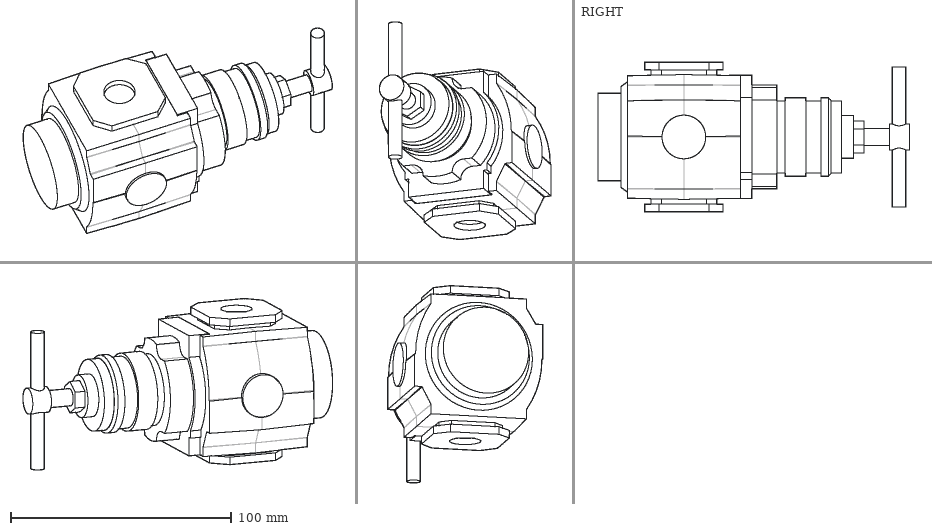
import cadquery as cq
import math


TOTAL_LENGTH = 141.6

HOUSING_HALF_LENGTH = 25.6
HOUSING_DRAFT = 1.0
BLOCK_HALF_HEIGHT = 28.3
CORNER_HALF_WIDTH = 22.8
CORNER_Z = 23.6
BULGE_HALF_WIDTH = 30.0
FLAT_HALF_WIDTH = 30.5
LEFT_LEDGE_Z = 15.9
RIGHT_LEDGE_Z = 16.9
LEDGE_HALF_WIDTH = 26.9

NOSE_TIP_Y = -39.1
NOSE_RADIUS = 20.0
SHOULDER_LENGTH = 3.0
SHOULDER_RADIUS = 25.0
SHOULDER_TIP_RADIUS = 23.0
DISC_RADIUS = 9.9
DISC_HALF_SPAN = 31.5
PORT_TOP_Z = 34.0
PORT_FLANGE_THICKNESS = 3.5
PORT_WIDTH = 35.7
PORT_CORNER_CUT = 6.5
PORT_BACK_LEFT_CUT = 7.2
PORT_FRONT_LEFT_CUT = 6.0
PORT_NECK_INSET = 2.8
PORT_HOLE_RADIUS = 7.1
PORT_HOLE_DEPTH = 2.8

KEY_HALF_WIDTH = 18.1
KEY_HALF_HEIGHT = 28.0
KEY_START_Y = 20.8
SLOT_CLEARANCE = 0.4
FLANGE_RADIUS = 25.5
FLANGE_END_Y = 30.9
CORNER_BLOCK_HALF_WIDTH = 19.8
CORNER_BLOCK_DEPTH = 19.4
LOBE_RADIUS = 23.6
LOBE_END_Y = 42.2
NOTCH_HALF_WIDTH = 7.1
NOTCH_FLOOR_Z = 16.9
NOTCH_FILLET = 5.5
BARREL_RADIUS = 16.4
BARREL_END_Y = 71.6
COLLAR_RADIUS = 17.8
LOWER_COLLAR_START_Y = 46.0
LOWER_COLLAR_END_Y = 55.4
UPPER_COLLAR_START_Y = 62.2
UPPER_COLLAR_END_Y = 65.5
COLLAR_CHAMFER = 1.3
CAP_RADIUS = 9.8
CAP_END_Y = 77.0
HEX_ACROSS_FLATS = 12.7
HEX_END_Y = 81.8

ROD_RADIUS = 4.0
HEAD_RADIUS = 6.0
HEAD_START_Y = 93.3
HEAD_END_Y = NOSE_TIP_Y + TOTAL_LENGTH
BAR_RADIUS = 3.1
BAR_LENGTH = 63.7
BAR_Y = 97.7


def cylinder_y(radius, start_y, end_y):
    """Solid cylinder on the Y axis."""
    plane = cq.Plane(origin=(0, start_y, 0), xDir=(1, 0, 0), normal=(0, 1, 0))
    return cq.Workplane(plane).circle(radius).extrude(end_y - start_y)


def box_between(x_range, y_range, z_range):
    """Box given by its limits along each axis."""
    limits = (x_range, y_range, z_range)
    size = [high - low for low, high in limits]
    return cq.Workplane("XY").box(*size, centered=False).translate([low for low, _ in limits])


def housing_block():
    """Drafted block; its profile nearly repeats after half a turn about Y."""
    bulge_depth = BULGE_HALF_WIDTH - CORNER_HALF_WIDTH
    bulge_radius = (CORNER_Z**2 + bulge_depth**2) / (2 * bulge_depth)
    middle_angle = math.asin(CORNER_Z / bulge_radius) / 2
    middle_x = BULGE_HALF_WIDTH - bulge_radius * (1 - math.cos(middle_angle))
    middle_z = bulge_radius * math.sin(middle_angle)

    profile = cq.Workplane("XZ").moveTo(-BULGE_HALF_WIDTH, 0)
    for side, ledge_z in ((-1, LEFT_LEDGE_Z), (1, RIGHT_LEDGE_Z)):
        profile = (
            profile.lineTo(side * FLAT_HALF_WIDTH, 0)
            .lineTo(side * FLAT_HALF_WIDTH, side * ledge_z)
            .lineTo(side * LEDGE_HALF_WIDTH, side * ledge_z)
            .lineTo(side * CORNER_HALF_WIDTH, side * CORNER_Z)
            .lineTo(side * CORNER_HALF_WIDTH, side * BLOCK_HALF_HEIGHT)
            .lineTo(-side * CORNER_HALF_WIDTH, side * BLOCK_HALF_HEIGHT)
            .lineTo(-side * CORNER_HALF_WIDTH, side * CORNER_Z)
            .threePointArc((-side * middle_x, side * middle_z), (-side * BULGE_HALF_WIDTH, 0))
        )
    half = profile.close().extrude(HOUSING_HALF_LENGTH, taper=HOUSING_DRAFT)
    return half.union(half.mirror("XZ"))


def nose():
    """Tapered shoulder and plain round nose on the -Y end."""
    shoulder_tip_y = -HOUSING_HALF_LENGTH - SHOULDER_LENGTH
    shoulder = (
        cq.Workplane("XY")
        .moveTo(0, -HOUSING_HALF_LENGTH)
        .lineTo(SHOULDER_RADIUS, -HOUSING_HALF_LENGTH)
        .lineTo(SHOULDER_TIP_RADIUS, shoulder_tip_y)
        .lineTo(0, shoulder_tip_y)
        .close()
        .revolve(360, (0, 0, 0), (0, 1, 0))
    )
    return shoulder.union(cylinder_y(NOSE_RADIUS, NOSE_TIP_Y, shoulder_tip_y))


def side_discs():
    """One round bar across X whose ends stand out of both sides."""
    return cq.Workplane("YZ").circle(DISC_RADIUS).extrude(DISC_HALF_SPAN, both=True)


def top_port():
    """Square flange with cut corners on a narrower neck."""
    flange_bottom_z = PORT_TOP_Z - PORT_FLANGE_THICKNESS
    edge = PORT_WIDTH / 2
    cut_start = edge - PORT_CORNER_CUT
    outline = [
        (-cut_start, -edge),
        (cut_start, -edge),
        (edge, -cut_start),
        (edge, cut_start),
        (cut_start, edge),
        (-cut_start, edge),
        (-edge, edge - PORT_BACK_LEFT_CUT),
        (-edge, PORT_FRONT_LEFT_CUT - edge),
    ]
    flange = (
        cq.Workplane("XY", origin=(0, 0, flange_bottom_z))
        .polyline(outline)
        .close()
        .extrude(PORT_FLANGE_THICKNESS)
    )
    neck = flange.faces("<Z").wires().toPending().offset2D(-PORT_NECK_INSET)
    neck = neck.extrude(CORNER_Z - flange_bottom_z, combine=False)
    return flange.union(neck)


def make_housing():
    housing = housing_block().union(nose()).union(side_discs())
    port = top_port()
    hole = (
        cq.Workplane("XY", origin=(0, 0, PORT_TOP_Z - PORT_HOLE_DEPTH))
        .circle(PORT_HOLE_RADIUS)
        .extrude(PORT_HOLE_DEPTH)
    )
    housing = housing.union(port).union(port.mirror("XY"))
    housing = housing.cut(hole).cut(hole.mirror("XY"))
    slot_half_width = KEY_HALF_WIDTH + SLOT_CLEARANCE
    slot = box_between(
        (-slot_half_width, slot_half_width),
        (KEY_START_Y, HOUSING_HALF_LENGTH),
        (-BLOCK_HALF_HEIGHT, BLOCK_HALF_HEIGHT),
    )
    return housing.cut(slot)


def flange_with_key():
    """Round flange with the key that fills the housing slot and a block with flat -Z corners."""
    key = box_between(
        (-KEY_HALF_WIDTH, KEY_HALF_WIDTH),
        (KEY_START_Y, FLANGE_END_Y),
        (-KEY_HALF_HEIGHT, KEY_HALF_HEIGHT),
    )
    corner_block = box_between(
        (-CORNER_BLOCK_HALF_WIDTH, CORNER_BLOCK_HALF_WIDTH),
        (HOUSING_HALF_LENGTH, FLANGE_END_Y),
        (-CORNER_BLOCK_DEPTH, 0),
    )
    flange = cylinder_y(FLANGE_RADIUS, HOUSING_HALF_LENGTH, FLANGE_END_Y)
    return flange.union(corner_block).union(key)


def lobed_nut():
    """Round nut with four rounded corner notches."""
    nut = cylinder_y(LOBE_RADIUS, FLANGE_END_Y, LOBE_END_Y)
    notch = box_between(
        (NOTCH_HALF_WIDTH, LOBE_RADIUS),
        (FLANGE_END_Y, LOBE_END_Y),
        (NOTCH_FLOOR_Z, LOBE_RADIUS),
    )
    notch = notch.edges("|Y and <X and <Z").fillet(NOTCH_FILLET)
    notches = notch.union(notch.mirror("YZ"))
    return nut.cut(notches).cut(notches.mirror("XY"))


def upper_collar():
    """Collar with a chamfered +Y rim."""
    rim_y = UPPER_COLLAR_END_Y + COLLAR_CHAMFER
    collar = cylinder_y(COLLAR_RADIUS, UPPER_COLLAR_START_Y, rim_y)
    return collar.faces(">Y").edges().chamfer(COLLAR_CHAMFER)


def hex_nut():
    """Hexagon with two corners on the Z axis."""
    plane = cq.Plane(origin=(0, CAP_END_Y, 0), xDir=(0, 0, 1), normal=(0, 1, 0))
    across_corners = HEX_ACROSS_FLATS / math.cos(math.pi / 6)
    return cq.Workplane(plane).polygon(6, across_corners).extrude(HEX_END_Y - CAP_END_Y)


def make_bonnet():
    return (
        flange_with_key()
        .union(lobed_nut())
        .union(cylinder_y(BARREL_RADIUS, LOBE_END_Y, BARREL_END_Y))
        .union(cylinder_y(COLLAR_RADIUS, LOWER_COLLAR_START_Y, LOWER_COLLAR_END_Y))
        .union(upper_collar())
        .union(cylinder_y(CAP_RADIUS, BARREL_END_Y, CAP_END_Y))
        .union(hex_nut())
    )


def make_handle():
    """Screw rod with a round head and a cross bar along Z."""
    rod = cylinder_y(ROD_RADIUS, HEX_END_Y, HEAD_START_Y)
    head = cylinder_y(HEAD_RADIUS, HEAD_START_Y, HEAD_END_Y)
    bar = (
        cq.Workplane("XY", origin=(0, BAR_Y, 0))
        .circle(BAR_RADIUS)
        .extrude(BAR_LENGTH / 2, both=True)
    )
    return rod.union(head).union(bar)


housing = make_housing()
bonnet = make_bonnet()
handle = make_handle()

result = cq.Compound.makeCompound([housing.val(), bonnet.val(), handle.val()])